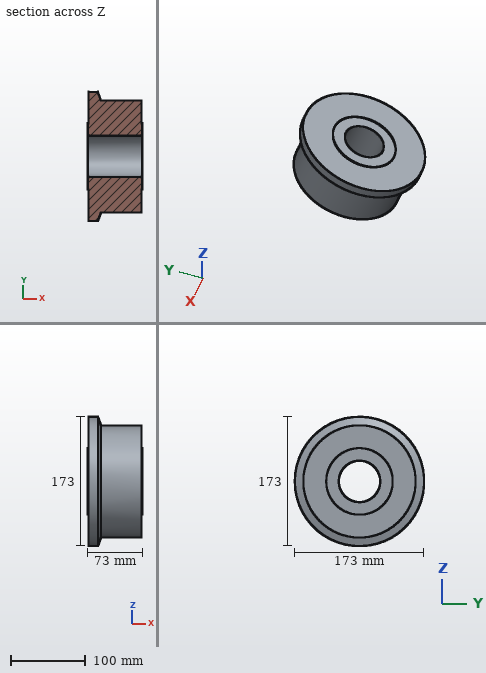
import cadquery as cq

flange_diameter = 173.0
tread_diameter = 150.0
hub_diameter = 89.0
bore_diameter = 55.0

overall_width = 73.0
hub_projection = 1.0
flange_width = 12.8
taper_width = 4.2

flange_start = hub_projection
flange_end = flange_start + flange_width
tread_start = flange_end + taper_width
tread_end = overall_width - hub_projection

wheel_section = [
    (0, bore_diameter / 2),
    (0, hub_diameter / 2),
    (flange_start, hub_diameter / 2),
    (flange_start, flange_diameter / 2),
    (flange_end, flange_diameter / 2),
    (tread_start, tread_diameter / 2),
    (tread_end, tread_diameter / 2),
    (tread_end, hub_diameter / 2),
    (overall_width, hub_diameter / 2),
    (overall_width, bore_diameter / 2),
]

section_points = [(axial, -radius) for axial, radius in wheel_section]
result = (
    cq.Workplane("XY")
    .polyline(section_points)
    .close()
    .revolve(360, (0, 0, 0), (1, 0, 0))
)